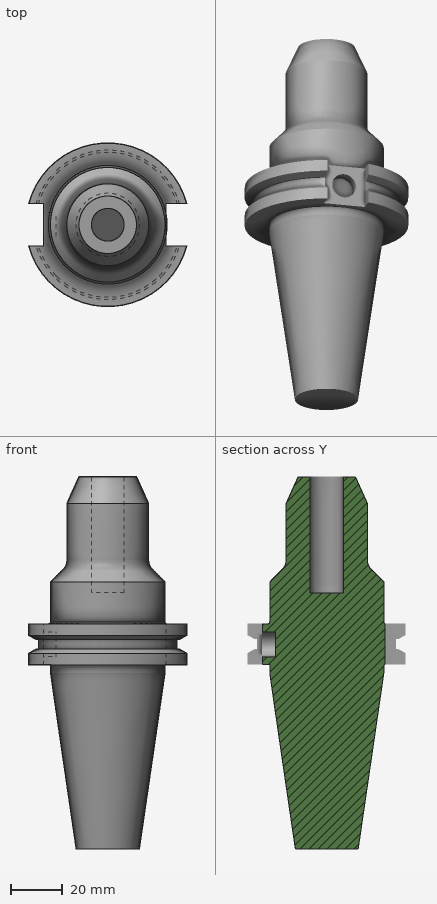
import cadquery as cq
import math

INCH = 25.4

gauge_radius = 1.75 * INCH / 2
taper_length = 68.25
taper_per_side = 7 / 48
taper_end_radius = gauge_radius - taper_length * taper_per_side

flange_radius = 2.5 * INCH / 2
flange_bottom_z = 3.2
flange_top_z = 0.75 * INCH
groove_flank_end_radius = 29.0
groove_floor_radius = 28.15
groove_centre_z = (flange_bottom_z + flange_top_z) / 2
groove_floor_width = 3.8
groove_half_angle = math.radians(30)

shoulder_radius = gauge_radius
shoulder_base_fillet = 0.8
shoulder_top_z = 35.3
nose_radius = 1.25 * INCH / 2
neck_fillet = 5.0
neck_cone_angle = math.radians(45)
nose_top_z = 3 * INCH
nose_face_radius = 11.15
nose_cone_height = 10.5

bore_diameter = 0.5 * INCH
bore_depth = 45.0

slot_width = 16.38
slot_overcut = 1.0
left_slot_floor_x = -25.0
right_slot_floor_x = 22.6
slot_hole_diameter = 9.5
slot_hole_depth = 5.0


def revolved_body():
    """Revolve the half profile of the taper, flange, shoulder and nose."""
    groove_floor_half = groove_floor_width / 2
    groove_flank_depth = flange_radius - groove_flank_end_radius
    groove_mouth_half = groove_floor_half + groove_flank_depth * math.tan(groove_half_angle)

    fillet_centre_r = nose_radius + neck_fillet
    fillet_end_r = fillet_centre_r - neck_fillet * math.cos(neck_cone_angle)
    fillet_end_z = shoulder_top_z + (shoulder_radius - fillet_end_r) * math.tan(neck_cone_angle)
    fillet_start_z = fillet_end_z + neck_fillet * math.sin(neck_cone_angle)
    fillet_mid_r = fillet_centre_r - neck_fillet * math.cos(neck_cone_angle / 2)
    fillet_mid_z = fillet_start_z - neck_fillet * math.sin(neck_cone_angle / 2)

    base_mid_offset = shoulder_base_fillet * (1 - math.sqrt(0.5))

    profile = (
        cq.Workplane("XZ")
        .moveTo(0, -taper_length)
        .lineTo(taper_end_radius, -taper_length)
        .lineTo(gauge_radius, 0)
        .lineTo(gauge_radius, flange_bottom_z)
        .lineTo(flange_radius, flange_bottom_z)
        .lineTo(flange_radius, groove_centre_z - groove_mouth_half)
        .lineTo(groove_flank_end_radius, groove_centre_z - groove_floor_half)
        .lineTo(groove_floor_radius, groove_centre_z - groove_floor_half)
        .lineTo(groove_floor_radius, groove_centre_z + groove_floor_half)
        .lineTo(groove_flank_end_radius, groove_centre_z + groove_floor_half)
        .lineTo(flange_radius, groove_centre_z + groove_mouth_half)
        .lineTo(flange_radius, flange_top_z)
        .lineTo(shoulder_radius + shoulder_base_fillet, flange_top_z)
        .threePointArc(
            (shoulder_radius + base_mid_offset, flange_top_z + base_mid_offset),
            (shoulder_radius, flange_top_z + shoulder_base_fillet),
        )
        .lineTo(shoulder_radius, shoulder_top_z)
        .lineTo(fillet_end_r, fillet_end_z)
        .threePointArc((fillet_mid_r, fillet_mid_z), (nose_radius, fillet_start_z))
        .lineTo(nose_radius, nose_top_z - nose_cone_height)
        .lineTo(nose_face_radius, nose_top_z)
        .lineTo(0, nose_top_z)
        .close()
    )
    return profile.revolve(360, (0, 0, 0), (0, 1, 0))


def drive_slot(floor_x):
    """Block that cuts a slot through the flange height, outward from floor_x."""
    outer_x = math.copysign(flange_radius + slot_overcut, floor_x)
    return cq.Workplane("XY").box(
        abs(outer_x - floor_x), slot_width, flange_top_z - flange_bottom_z
    ).translate(((outer_x + floor_x) / 2, 0, groove_centre_z))


def slot_hole():
    """Blind hole running along +X from the left slot floor."""
    return (
        cq.Workplane("YZ", origin=(left_slot_floor_x, 0, groove_centre_z))
        .circle(slot_hole_diameter / 2)
        .extrude(slot_hole_depth)
    )


def tool_bore():
    """Blind bore running down from the nose face."""
    return (
        cq.Workplane("XY", origin=(0, 0, nose_top_z))
        .circle(bore_diameter / 2)
        .extrude(-bore_depth)
    )


result = revolved_body()
for slot_floor_x in (left_slot_floor_x, right_slot_floor_x):
    result = result.cut(drive_slot(slot_floor_x))
result = result.cut(slot_hole())
result = result.cut(tool_bore())